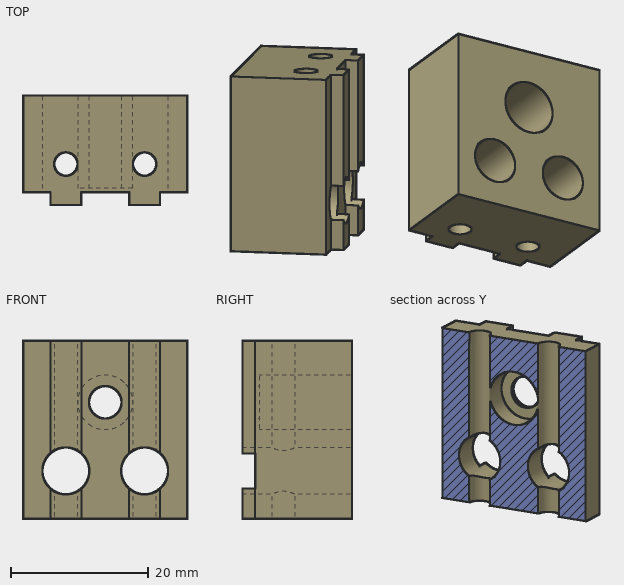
import cadquery as cq

width = 24.0
depth = 16.0
height = 26.0
rib_height = 1.85
rib_width = 4.55
rib_offset = 5.75
body_depth = depth - rib_height

large_hole_diameter = 6.8
large_hole_z = 7.0
small_hole_diameter = 4.7
small_hole_z = 17.0
rear_bore_diameter = 8.0
front_lip_thickness = 0.68

vertical_hole_diameter = 3.38
vertical_hole_from_back = 10.0


def cross_hole(x, z, diameter, length=depth):
    """Cylinder along Y that runs forward from the back face, through the whole depth by default."""
    profile = cq.Workplane("XZ", origin=(0, depth, 0)).center(x, z).circle(diameter / 2)
    return profile.extrude(length)


def vertical_hole(x):
    """Cylinder along Z that passes through the full height."""
    profile = cq.Workplane("XY").center(x, depth - vertical_hole_from_back)
    return profile.circle(vertical_hole_diameter / 2).extrude(height)


result = cq.Workplane("XY").box(width, body_depth, height, centered=(True, False, False))
result = result.translate((0, rib_height, 0))

rib_centres = (-rib_offset, rib_offset)
for x in rib_centres:
    rib = cq.Workplane("XY").box(rib_width, rib_height, height, centered=(True, False, False))
    result = result.union(rib.translate((x, 0, 0)))

for x in rib_centres:
    result = result.cut(cross_hole(x, large_hole_z, large_hole_diameter))
    result = result.cut(vertical_hole(x))

result = result.cut(cross_hole(0, small_hole_z, small_hole_diameter))

rear_bore_depth = body_depth - front_lip_thickness
result = result.cut(cross_hole(0, small_hole_z, rear_bore_diameter, rear_bore_depth))